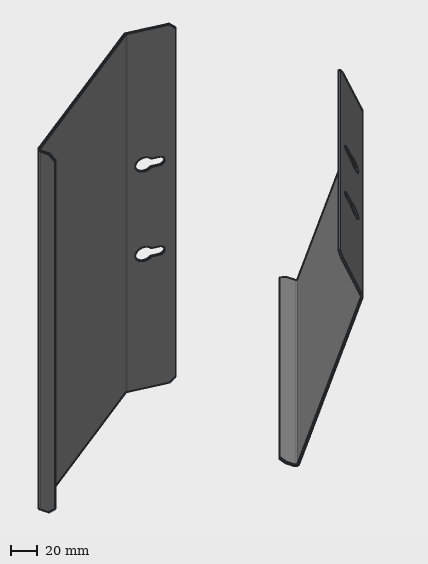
import cadquery as cq
import math

height = 360.0
thickness = 1.5
outer_bend_radius = 3.0
inner_bend_radius = 1.0

flange_length = 40.0
panel_inner_length = 145.0
lip_length = 15.0

flange_bend_angle = 45.0
miter_factor = math.tan(math.radians(flange_bend_angle / 2))
panel_length = panel_inner_length + thickness * (1 + miter_factor)

corner_chamfer = 5.0

keyhole_spacing = 90.0
keyhole_head_diameter = 14.0
keyhole_slot_width = 8.5
keyhole_head_distance = 25.0
keyhole_slot_distance = 13.0

turn = math.radians(flange_bend_angle)
along_panel = cq.Vector(math.sin(turn), -math.cos(turn), 0)
along_lip = cq.Vector(math.cos(turn), math.sin(turn), 0)
flange_corner = cq.Vector(0, -flange_length, 0)
lip_corner = flange_corner + along_panel * panel_length
lip_end = lip_corner + along_lip * lip_length

inner_flange_corner = flange_corner + cq.Vector(thickness, thickness * miter_factor, 0)
inner_lip_corner = lip_corner + (along_lip - along_panel) * thickness
inner_lip_end = lip_end - along_panel * thickness


def make_folded_sheet():
    """Extrude the sharp-cornered sheet profile and round both bends."""
    outline = [
        cq.Vector(0, 0, 0),
        flange_corner,
        lip_corner,
        lip_end,
        inner_lip_end,
        inner_lip_corner,
        inner_flange_corner,
        cq.Vector(thickness, 0, 0),
    ]
    sheet = cq.Workplane("XY").polyline([(p.x, p.y) for p in outline]).close()
    sheet = sheet.extrude(height / 2, both=True)
    for corners, radius in (
        ((flange_corner, lip_corner), outer_bend_radius),
        ((inner_flange_corner, inner_lip_corner), inner_bend_radius),
    ):
        for corner in corners:
            sheet = sheet.edges(cq.selectors.NearestToPointSelector(corner.toTuple())).fillet(radius)
    return sheet


def make_corner_trims(edge_point, inward, across):
    """Triangular cutters for the two ends of a free edge, running through the sheet along `across`."""
    plane = cq.Plane(origin=edge_point.toTuple(), xDir=inward.toTuple(), normal=across.toTuple())
    trims = cq.Workplane(plane)
    for end in (-height / 2, height / 2):
        inset = end - math.copysign(corner_chamfer, end)
        trims = trims.moveTo(0, end).lineTo(corner_chamfer, end).lineTo(0, inset).close()
    return trims.extrude(thickness)


def make_keyholes():
    """Round heads nearest the bend, each with a round-ended slot toward the free edge."""
    flange_face = cq.Workplane("YZ")
    heights = (-keyhole_spacing / 2, keyhole_spacing / 2)
    slot_run = keyhole_head_distance - keyhole_slot_distance
    slot_middle = (keyhole_head_distance + keyhole_slot_distance) / 2
    heads = flange_face.pushPoints([(-keyhole_head_distance, z) for z in heights])
    heads = heads.circle(keyhole_head_diameter / 2).extrude(thickness)
    slots = flange_face.pushPoints([(-slot_middle, z) for z in heights])
    slots = slots.slot2D(slot_run + keyhole_slot_width, keyhole_slot_width).extrude(thickness)
    return heads.union(slots)


flange_trims = make_corner_trims(cq.Vector(0, 0, 0), cq.Vector(0, -1, 0), cq.Vector(1, 0, 0))
lip_trims = make_corner_trims(lip_end, along_lip * -1, along_panel * -1)

result = make_folded_sheet().cut(flange_trims).cut(lip_trims).cut(make_keyholes())